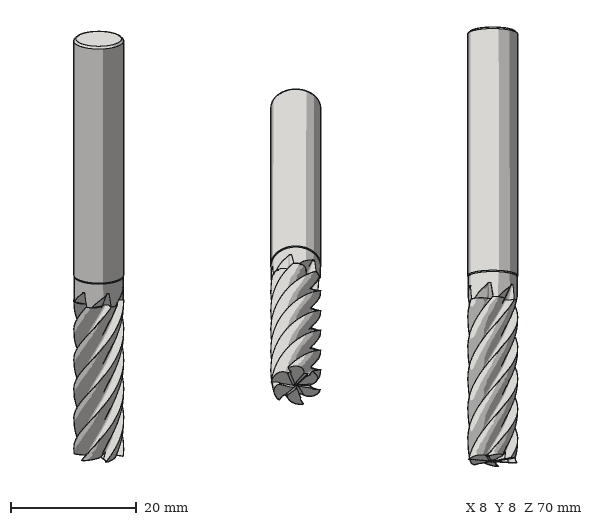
import cadquery as cq
import math

total_length = 70.0
shank_diameter = 8.0
shank_radius = shank_diameter / 2
top_chamfer = 0.35

neck_radius = 3.9
neck_top = 30.0
neck_cone_height = 0.2

flute_count = 6
pitch_angle = 360 / flute_count
cutter_length = 26.0
helix_lead = 29.8

land_angle = 7
land_drop = 0.035
land_end_radius = shank_radius - land_drop
back_radius = 3.85
back_angle = 18
heel_radius = 2.8
heel_angle = 42
gullet_radius = 2.45
gullet_angle = 54
rake_foot_radius = 3.0
rake_foot_angle = 3

runout_length = 2.3
runout_opening_radius = 4.2
runout_back_angle = 10
runout_tip_angle = 8
runout_tip_half_width = 3
runout_tip_depth = 0.15

end_land_width = 0.4
relief_angle = 14
gash_depth = 1.7
gash_centre_depth = 0.3
gash_face_angle = 20
gash_floor_angle = 40
cut_margin = 0.7


def polar(radius, angle):
    """Point at a radius and an angle in degrees."""
    return (radius * math.cos(math.radians(angle)), radius * math.sin(math.radians(angle)))


def tangent(angle):
    return math.tan(math.radians(angle))


def helix_turn(height):
    """Turn of the flutes, in degrees, over a height."""
    return 360 * height / helix_lead


def tooth_section():
    """Cross-section of all the teeth, with the first cutting edge on +X."""
    section = cq.Workplane("XY").moveTo(shank_radius, 0)
    for tooth in range(flute_count):
        edge = tooth * pitch_angle
        next_edge = edge + pitch_angle
        section = (
            section.lineTo(*polar(land_end_radius, edge + land_angle))
            .threePointArc(polar(back_radius, edge + back_angle), polar(heel_radius, edge + heel_angle))
            .threePointArc(
                polar(gullet_radius, edge + gullet_angle),
                polar(rake_foot_radius, next_edge + rake_foot_angle),
            )
            .lineTo(*polar(shank_radius, next_edge))
        )
    return section.close()


def end_relief():
    """Wedge that slopes one end face up behind the flat land of its end cutting edge."""
    reach = shank_radius + cut_margin
    rise = (reach - end_land_width) * tangent(relief_angle)
    wedge = (
        cq.Workplane("YZ")
        .polyline([(end_land_width, 0), (reach, rise), (reach, -cut_margin), (end_land_width, -cut_margin)])
        .close()
        .extrude(reach)
    )
    sector = (
        cq.Workplane("XY", origin=(0, 0, -cut_margin))
        .polyline([(0, 0), (2 * reach, 0), polar(2 * reach, pitch_angle)])
        .close()
        .extrude(rise + 2 * cut_margin)
    )
    return wedge.intersect(sector)


def end_gash():
    """V-shaped notch in front of one end cutting edge, deepening from the axis to the outside."""
    reach = shank_radius + cut_margin
    slope = (gash_depth - gash_centre_depth) / shank_radius

    def notch_outline(x):
        """V outline whose apex follows the sloping bottom of the notch."""
        apex = gash_centre_depth + slope * x
        floor_run = (apex + cut_margin) / tangent(gash_floor_angle)
        face_run = apex * tangent(gash_face_angle)
        return [(0, 0), (face_run, apex), (face_run - floor_run, -cut_margin), (0, -cut_margin)]

    return (
        cq.Workplane("YZ")
        .polyline(notch_outline(0))
        .close()
        .workplane(offset=reach)
        .polyline(notch_outline(reach))
        .close()
        .loft(ruled=True)
    )


def make_cutter():
    cutter = tooth_section().twistExtrude(cutter_length, helix_turn(cutter_length))
    for tooth in range(flute_count):
        for cut in (end_relief(), end_gash()):
            cutter = cutter.cut(cut.rotate((0, 0, 0), (0, 0, 1), tooth * pitch_angle))
    return cutter.solids()


def flute_runout():
    """Flute end that narrows to a tip, with the cutting edge at its base on +X."""
    tip_start = -runout_tip_angle - runout_tip_half_width
    tip_end = -runout_tip_angle + runout_tip_half_width
    tip_floor = neck_radius - runout_tip_depth
    back_start = runout_back_angle - pitch_angle
    return (
        cq.Workplane("XY", origin=(0, 0, cutter_length))
        .moveTo(*polar(runout_opening_radius, back_start))
        .lineTo(*polar(heel_radius, heel_angle - pitch_angle))
        .threePointArc(
            polar(gullet_radius, gullet_angle - pitch_angle), polar(rake_foot_radius, rake_foot_angle)
        )
        .lineTo(runout_opening_radius, 0)
        .threePointArc(
            polar(runout_opening_radius, back_start / 2), polar(runout_opening_radius, back_start)
        )
        .close()
        .workplane(offset=runout_length)
        .moveTo(*polar(runout_opening_radius, tip_start))
        .lineTo(*polar(neck_radius, tip_start))
        .threePointArc(polar(tip_floor, -runout_tip_angle), polar(neck_radius, tip_end))
        .lineTo(*polar(runout_opening_radius, tip_end))
        .threePointArc(
            polar(runout_opening_radius, -runout_tip_angle), polar(runout_opening_radius, tip_start)
        )
        .close()
        .loft(ruled=True)
    )


def make_shank():
    shank = (
        cq.Workplane("YZ")
        .polyline(
            [
                (0, cutter_length),
                (-neck_radius, cutter_length),
                (-neck_radius, neck_top),
                (-shank_radius, neck_top + neck_cone_height),
                (-shank_radius, total_length - top_chamfer),
                (top_chamfer - shank_radius, total_length),
                (0, total_length),
            ]
        )
        .close()
        .revolve(360, (0, 0), (0, 1))
    )
    for flute in range(flute_count):
        edge = helix_turn(cutter_length) + flute * pitch_angle
        shank = shank.cut(flute_runout().rotate((0, 0, 0), (0, 0, 1), edge))
    return shank.solids()


cutter = make_cutter()
shank = make_shank()
result = cq.Compound.makeCompound([cutter.val(), shank.val()])